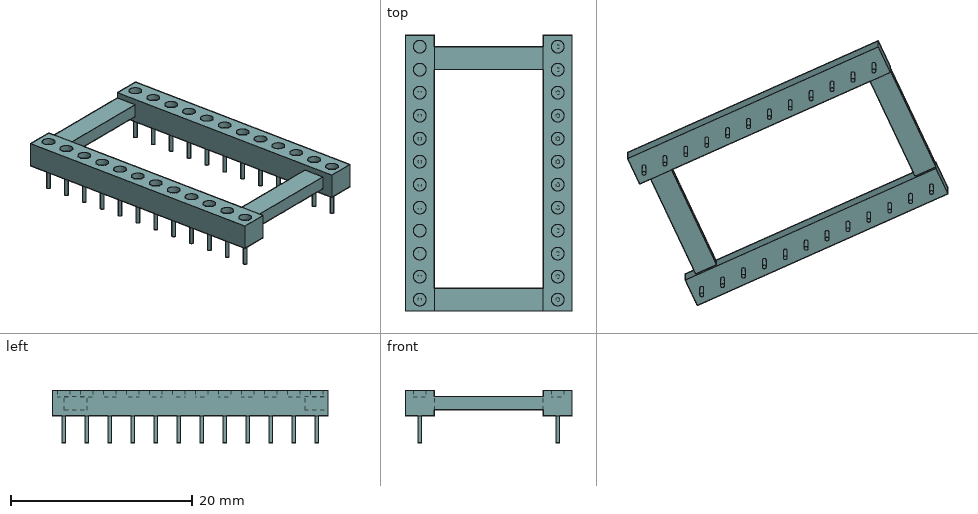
import cadquery as cq

total_length = 30.48
contacts_per_row = 12
row_spacing = 15.25
strip_width = 3.2
strip_height = 2.8
pin_length = 3.0
pin_diameter = 0.43
socket_diameter = 1.4
socket_depth = 0.7
bridge_height = 1.5

pitch = total_length / contacts_per_row
bridge_width = pitch
bridge_bottom = (strip_height - bridge_height) / 2
bridge_length = row_spacing - strip_width
row_positions = (-row_spacing / 2, row_spacing / 2)
front_y = -total_length / 2
back_y = total_length / 2
back_bridge_inset = pitch / 2

contact_points = [
    (x, front_y + (i + 0.5) * pitch) for x in row_positions for i in range(contacts_per_row)
]


def strip(x):
    """One row of insulator blocks, standing on Z = 0."""
    return (
        cq.Workplane("XY")
        .center(x, 0)
        .rect(strip_width, total_length)
        .extrude(strip_height)
    )


def bridge(y):
    """Cross bar between the two strips, centred on y."""
    return (
        cq.Workplane("XY", origin=(0, y, bridge_bottom))
        .rect(bridge_length, bridge_width)
        .extrude(bridge_height)
    )


frame = strip(row_positions[0])
frame = frame.union(strip(row_positions[1]))
frame = frame.union(bridge(front_y + bridge_width / 2))
frame = frame.union(bridge(back_y - back_bridge_inset - bridge_width / 2))

sockets = (
    cq.Workplane("XY", origin=(0, 0, strip_height))
    .pushPoints(contact_points)
    .circle(socket_diameter / 2)
    .extrude(-socket_depth)
)

pins = (
    cq.Workplane("XY")
    .pushPoints(contact_points)
    .circle(pin_diameter / 2)
    .extrude(-pin_length)
)

result = frame.cut(sockets).union(pins)